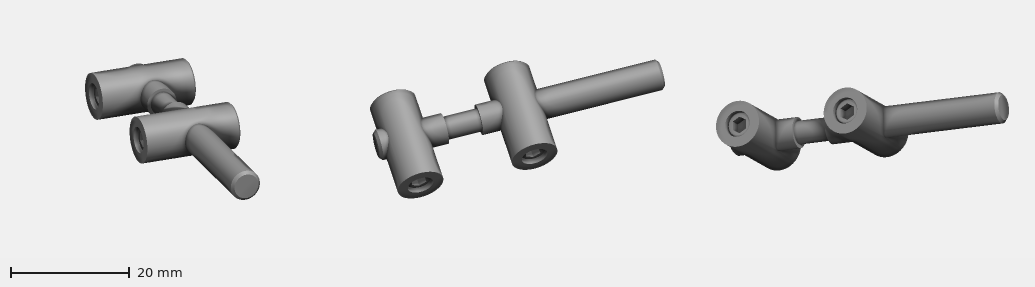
import cadquery as cq
import math

ROD_LENGTH = 50.0
ROD_DIAMETER = 5.3
ROD_CHAMFER = 0.5
NECK_START = 12.0
NECK_LENGTH = 6.0
NECK_DIAMETER = 4.0

BARREL_DIAMETER = 8.0
BARREL_LENGTH = 17.0
BARREL_BACK = 7.5
BARREL_FRONT = BARREL_BACK - BARREL_LENGTH
BARREL_CHAMFER = 0.3
LOOSE_BARREL_X = 5.0
BARREL_SPACING = 20.0
FIXED_BARREL_X = LOOSE_BARREL_X + BARREL_SPACING

RECESS_DIAMETER = 4.5
RECESS_DEPTH = 0.8
FLOOR_EDGE_CHAMFER = 0.25
HEX_FLATS = 2.5
HEX_DEPTH = 2.0


def make_rod():
    """Round rod with chamfered ends and a reduced neck."""
    rod = cq.Workplane("YZ").circle(ROD_DIAMETER / 2).extrude(ROD_LENGTH)
    rod = rod.faces("<X or >X").chamfer(ROD_CHAMFER)
    neck_groove = (
        cq.Workplane("YZ", origin=(NECK_START, 0, 0))
        .circle(ROD_DIAMETER)
        .circle(NECK_DIAMETER / 2)
        .extrude(NECK_LENGTH)
    )
    return rod.cut(neck_groove)


def front_plane(x, depth):
    """Plane parallel to the front face, facing into the barrel."""
    origin = (x, BARREL_FRONT + depth, 0)
    return cq.Workplane(cq.Plane(origin=origin, xDir=(0, 0, 1), normal=(0, 1, 0)))


def make_barrel(x):
    """Cross barrel with a round recess and a hexagon socket."""
    barrel = front_plane(x, 0).circle(BARREL_DIAMETER / 2).extrude(BARREL_LENGTH)
    barrel = barrel.faces(">Y").chamfer(BARREL_CHAMFER)
    recess_depth_at_edge = RECESS_DEPTH + FLOOR_EDGE_CHAMFER
    recess = front_plane(x, 0).circle(RECESS_DIAMETER / 2).extrude(recess_depth_at_edge)
    raised_floor = (
        front_plane(x, RECESS_DEPTH)
        .circle(RECESS_DIAMETER / 2 - FLOOR_EDGE_CHAMFER)
        .workplane(offset=FLOOR_EDGE_CHAMFER)
        .circle(RECESS_DIAMETER / 2)
        .loft()
    )
    recess = recess.cut(raised_floor)
    hex_corners = HEX_FLATS / math.cos(math.pi / 6)
    socket = front_plane(x, RECESS_DEPTH).polygon(6, hex_corners).extrude(HEX_DEPTH)
    return barrel.cut(recess).cut(socket)


rod = make_rod()

loose_barrel = make_barrel(LOOSE_BARREL_X).cut(rod)

rod_with_barrel = rod.union(make_barrel(FIXED_BARREL_X))

result = cq.Compound.makeCompound([loose_barrel.val(), rod_with_barrel.val()])